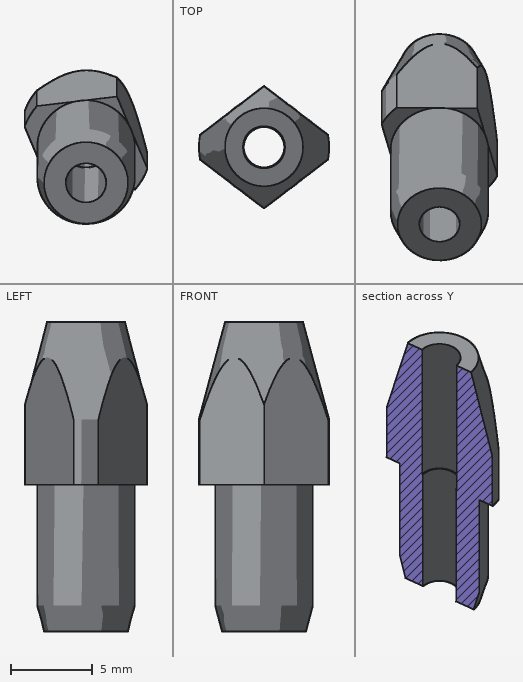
import cadquery as cq
import math

total_length = 19.0
shank_length = 9.0
shank_radius = 3.0
head_radius = 4.0
top_radius = 2.4
head_bore_radius = 1.3
shank_bore_radius = 1.24
lead_in_height = 1.6
taper_angle = 15.0
flat_distance = 2.98
rhombus_half_y = 3.752

taper = math.tan(math.radians(taper_angle))
lead_in_radius = shank_radius - lead_in_height * taper
cone_height = (head_radius - top_radius) / taper
flat_angle = math.acos(flat_distance / rhombus_half_y)
rhombus_half_x = flat_distance / math.sin(flat_angle)


def turned_body():
    """Round blank: tapered lead-in, shank, head and nose cone."""
    return (
        cq.Workplane("XZ")
        .lineTo(lead_in_radius, 0)
        .lineTo(shank_radius, lead_in_height)
        .lineTo(shank_radius, shank_length)
        .lineTo(head_radius, shank_length)
        .lineTo(head_radius, total_length - cone_height)
        .lineTo(top_radius, total_length)
        .lineTo(0, total_length)
        .close()
        .revolve(360, (0, 0, 0), (0, 1, 0))
    )


def rhombus_envelope():
    """Prism whose four sides are the wrench flats."""
    return (
        cq.Workplane("XY")
        .moveTo(rhombus_half_x, 0)
        .lineTo(0, rhombus_half_y)
        .lineTo(-rhombus_half_x, 0)
        .lineTo(0, -rhombus_half_y)
        .close()
        .extrude(total_length)
    )


def shank_envelope():
    """Cylinder that protects the shank from the flat cuts."""
    return cq.Workplane("XY").circle(shank_radius).extrude(shank_length)


def bore():
    """Through hole, slightly narrower in the shank than in the head."""
    shank_bore = cq.Workplane("XY").circle(shank_bore_radius).extrude(total_length)
    head_bore = (
        cq.Workplane("XY", origin=(0, 0, shank_length))
        .circle(head_bore_radius)
        .extrude(total_length - shank_length)
    )
    return shank_bore.union(head_bore)


envelope = rhombus_envelope().union(shank_envelope())
result = turned_body().intersect(envelope).cut(bore())